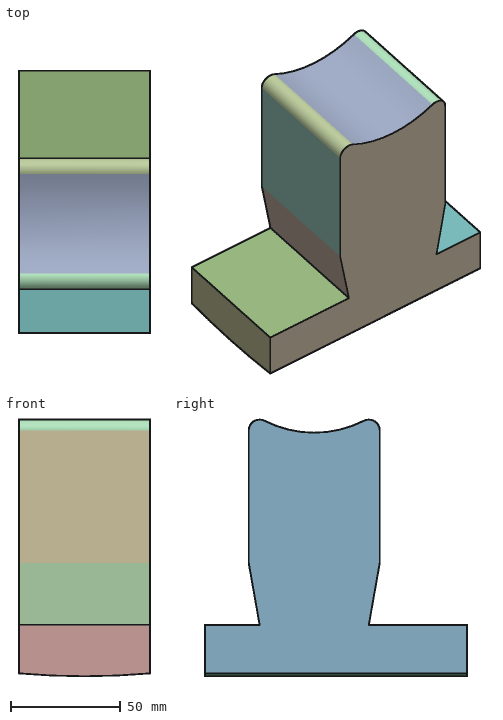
import cadquery as cq
import math

length_x = 60.0
base_width = 120.0
total_height = 117.5
base_top = 23.5
bottom_rise = 1.3

column_width = 60.0
column_center_y = -10.0
neck_width = 50.0
taper_top = 51.8

lip_radius = 5.0
saddle_radius = 50.0


def make_base():
    """Wide foot whose underside is slightly convex along X."""
    half_length = length_x / 2
    return (
        cq.Workplane("XZ")
        .moveTo(-half_length, base_top)
        .lineTo(-half_length, bottom_rise)
        .threePointArc((0, 0), (half_length, bottom_rise))
        .lineTo(half_length, base_top)
        .close()
        .extrude(base_width / 2, both=True)
    )


def make_column():
    """Tapered-neck column with a saddle running tangent into two round lips."""
    half_width = column_width / 2
    half_neck = neck_width / 2

    lip_y = half_width - lip_radius
    lip_z = total_height - lip_radius
    center_distance = saddle_radius + lip_radius
    saddle_z = lip_z + math.sqrt(center_distance**2 - lip_y**2)
    touch_y = lip_y * saddle_radius / center_distance
    touch_z = saddle_z - math.sqrt(saddle_radius**2 - touch_y**2)

    return (
        cq.Workplane("YZ")
        .center(column_center_y, 0)
        .moveTo(-half_neck, base_top)
        .lineTo(half_neck, base_top)
        .lineTo(half_width, taper_top)
        .lineTo(half_width, lip_z)
        .threePointArc((lip_y, total_height), (touch_y, touch_z))
        .threePointArc((0, saddle_z - saddle_radius), (-touch_y, touch_z))
        .threePointArc((-lip_y, total_height), (-half_width, lip_z))
        .lineTo(-half_width, taper_top)
        .close()
        .extrude(length_x / 2, both=True)
    )


result = make_base().union(make_column())